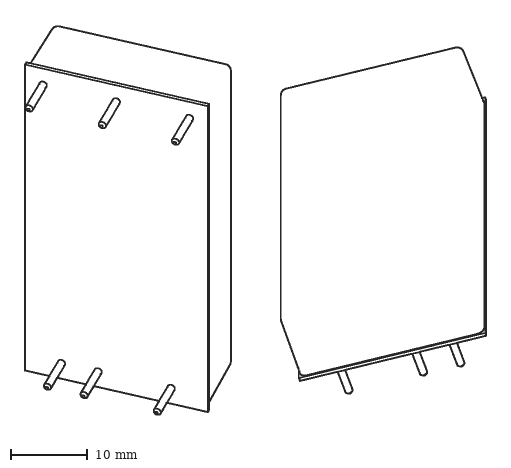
import cadquery as cq

width = 25.4
height = 50.8
body_depth = 10.15
flange_thickness = 0.5
side_inset_at_flange = 0.15
side_inset_at_back = 0.25
end_inset_at_flange = 0.2
end_inset_at_back = 0.4
edge_radius = 0.9

pitch = 2.55
pin_diameter = 1.0
pin_length = 5.65
pin_tip_chamfer = 0.3
pin_row_height = 22.75
top_pin_columns = (-4, 0, 4)
bottom_pin_columns = (-3, -1, 3)

overall_depth = body_depth + pin_length
pin_side_y = -overall_depth / 2 + pin_length


def plane_facing_back(y):
    """Work plane at the given Y whose normal is +Y and whose local Y is -Z."""
    return cq.Workplane("XZ", origin=(0, y, 0)).transformed(rotate=(180, 0, 0))


def make_flange():
    return plane_facing_back(pin_side_y).rect(width, height).extrude(flange_thickness)


def make_case():
    """Drafted cover with rounded corners and a rounded back face."""
    base_y = pin_side_y + flange_thickness
    case_depth = body_depth - flange_thickness
    case = (
        plane_facing_back(base_y)
        .rect(width - 2 * side_inset_at_flange, height - 2 * end_inset_at_flange)
        .workplane(offset=case_depth)
        .rect(width - 2 * side_inset_at_back, height - 2 * end_inset_at_back)
        .loft(ruled=True)
    )
    flange_side_edges = case.faces("<Y").edges().vals()
    rounded_edges = [
        edge for edge in case.edges().vals()
        if not any(edge.isSame(other) for other in flange_side_edges)
    ]
    return case.newObject(rounded_edges).fillet(edge_radius)


def make_pin(column, z):
    return (
        cq.Workplane("XZ", origin=(column * pitch, pin_side_y, z))
        .circle(pin_diameter / 2)
        .extrude(pin_length)
        .faces("<Y")
        .chamfer(pin_tip_chamfer)
    )


result = make_flange().union(make_case())
for columns, row_z in ((top_pin_columns, pin_row_height), (bottom_pin_columns, -pin_row_height)):
    for column in columns:
        result = result.union(make_pin(column, row_z))